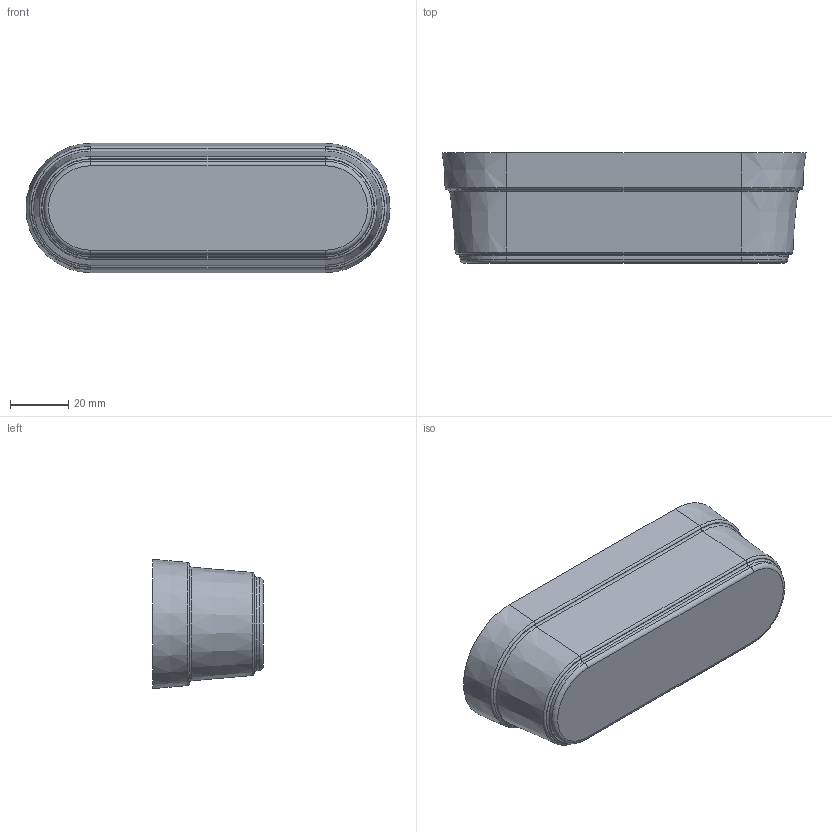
import cadquery as cq

overall_length = 125.28
overall_height = 44.51
overall_depth = 38.1

rim_depth = 12.7
collar_depth = 3.14
body_depth = overall_depth - rim_depth - collar_depth

end_spacing = overall_length - overall_height
rim_radius = overall_height / 2
body_radius = 19.62
collar_radius = 16.17

wall_draft = 5.0
step_fillet = 0.8
collar_root_fillet = 0.68
collar_nose_fillet = 1.5


def stadium_stage(radius, start_depth, depth, nose_fillet):
    """Stadium block running toward -Y, narrowed by the wall draft, with its nose edge rounded."""
    section_plane = cq.Workplane("XZ").workplane(offset=start_depth)
    section = section_plane.slot2D(end_spacing + 2 * radius, 2 * radius)
    stage = section.extrude(depth, taper=wall_draft)
    return stage.faces("<Y").edges().fillet(nose_fillet)


def root_loop(radius, depth):
    """Selector for the edges at one depth that lie within a stadium of the given radius."""
    clearance = 0.1
    half_length = end_spacing / 2 + radius + clearance
    half_height = radius + clearance
    return cq.selectors.BoxSelector(
        (-half_length, -depth - clearance, -half_height),
        (half_length, -depth + clearance, half_height),
        boundingbox=True,
    )


collar_start = rim_depth + body_depth
rim = stadium_stage(rim_radius, 0, rim_depth, step_fillet)
body = stadium_stage(body_radius, rim_depth, body_depth, step_fillet)
collar = stadium_stage(collar_radius, collar_start, collar_depth, collar_nose_fillet)

stepped_body = rim.union(body).edges(root_loop(body_radius, rim_depth)).fillet(step_fillet)
stacked_stages = stepped_body.union(collar)
result = stacked_stages.edges(root_loop(collar_radius, collar_start)).fillet(collar_root_fillet)